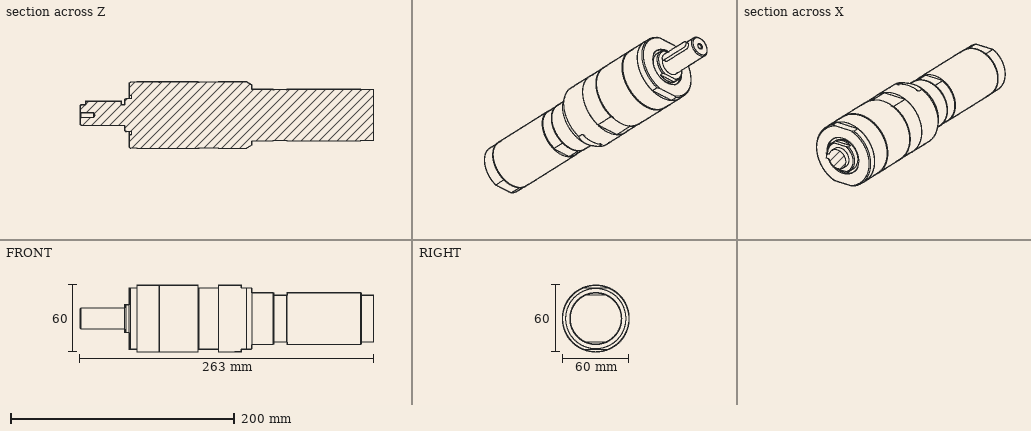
import cadquery as cq
import math

total_length = 263.0

shaft_diameter = 19.0
shaft_chamfer = 1.0

hole_diameter = 4.13
hole_depth = 12.0
countersink_diameter = 5.5
drill_point_angle = 118.0

key_width = 6.0
key_length = 32.0
x_key = 5.0
key_top = 12.5

x_collar = 40.0
collar_diameter = 29.95
collar_across_flats = 25.0
collar_chamfer = 1.0
recess_diameter = 35.0
recess_depth = 2.0

x_body = 44.0
x_body_end = 154.0
body_diameter = 60.0
body_across_flats = 55.0
body_front_chamfer = 1.0
body_cone_length = 4.8
body_cone_end_diameter = 54.0
body_seat_diameter = 59.6

tail_diameter = 46.6
tail_across_flats = 42.0
tail_seat_diameter = 46.0

groove_width = 0.7
groove_depth = 0.4

front_flats = (x_body, 51.0)
middle_flats = (105.7, 124.0)
rear_flats = (144.5, x_body_end)
tail_middle_flats = (173.6, 185.5)
tail_end_flats = (252.0, total_length)

body_grooves = [70.7, middle_flats[0]]
tail_grooves = [
    tail_middle_flats[0] - groove_width,
    tail_middle_flats[1] - groove_width,
    tail_end_flats[0] - groove_width,
]


def cylinder(x_start, x_end, diameter):
    """Solid cylinder along the part axis."""
    return cq.Workplane("YZ", origin=(x_start, 0, 0)).circle(diameter / 2).extrude(x_end - x_start)


def ring(x_start, x_end, outer_diameter, inner_diameter):
    """Hollow cylinder along the part axis."""
    profile = cq.Workplane("YZ", origin=(x_start, 0, 0)).circle(outer_diameter / 2).circle(inner_diameter / 2)
    return profile.extrude(x_end - x_start)


def turn_seat(solid, stretch, diameter, seat_diameter):
    """Turn one stretch of a cylinder down to a slightly smaller seat for the flats."""
    x_start, x_end = stretch
    return solid.cut(ring(x_start, x_end, 2 * diameter, seat_diameter))


def cut_flats(solid, stretch, diameter, across_flats):
    """Cut flats facing +Z and -Z along one stretch of a cylinder."""
    x_start, x_end = stretch
    outside = cq.Workplane("XY").box(x_end - x_start, 2 * diameter, 2 * diameter)
    between_flats = cq.Workplane("XY").box(x_end - x_start, 2 * diameter, across_flats)
    cutter = outside.cut(between_flats).translate(((x_start + x_end) / 2, 0, 0))
    return solid.cut(cutter)


def cut_grooves(solid, starts, diameter):
    """Cut hairline grooves around a cylinder."""
    for x_start in starts:
        x_end = x_start + groove_width
        solid = solid.cut(ring(x_start, x_end, 2 * diameter, diameter - 2 * groove_depth))
    return solid


def make_tip_hole():
    hole_radius = hole_diameter / 2
    countersink_radius = countersink_diameter / 2
    point_length = hole_radius / math.tan(math.radians(drill_point_angle / 2))
    half_section = (
        cq.Workplane("XY")
        .lineTo(0, countersink_radius)
        .lineTo(countersink_radius - hole_radius, hole_radius)
        .lineTo(hole_depth, hole_radius)
        .lineTo(hole_depth + point_length, 0)
        .close()
    )
    return half_section.revolve(360, (0, 0, 0), (1, 0, 0))


def make_shaft():
    shaft = cylinder(0, x_collar, shaft_diameter).faces("<X").chamfer(shaft_chamfer)
    key = cq.Workplane("XZ").center(x_key + key_length / 2, 0).slot2D(key_length, key_width).extrude(-key_top)
    return shaft.union(key).cut(make_tip_hole())


def make_collar():
    collar = cylinder(x_collar, x_body + recess_depth, collar_diameter).faces("<X").chamfer(collar_chamfer)
    return cut_flats(collar, (x_collar, x_body), collar_diameter, collar_across_flats)


def make_body():
    body = cylinder(x_body, x_body_end, body_diameter)
    body = body.faces(">X").chamfer(body_cone_length, (body_diameter - body_cone_end_diameter) / 2)
    for stretch in (front_flats, middle_flats):
        body = turn_seat(body, stretch, body_diameter, body_seat_diameter)
    body = body.faces("<X").chamfer(body_front_chamfer)
    for stretch in (front_flats, middle_flats, rear_flats):
        body = cut_flats(body, stretch, body_diameter, body_across_flats)
    body = cut_grooves(body, body_grooves, body_diameter)
    return body.cut(cylinder(x_body, x_body + recess_depth, recess_diameter))


def make_tail():
    tail = cylinder(x_body_end, total_length, tail_diameter)
    for stretch in (tail_middle_flats, tail_end_flats):
        tail = turn_seat(tail, stretch, tail_diameter, tail_seat_diameter)
        tail = cut_flats(tail, stretch, tail_diameter, tail_across_flats)
    return cut_grooves(tail, tail_grooves, tail_diameter)


result = make_shaft().union(make_collar()).union(make_body()).union(make_tail())